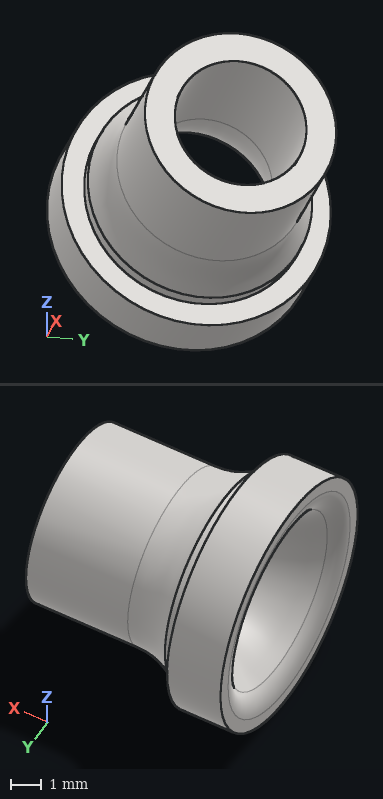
import cadquery as cq
import math

total_length = 8.0
flange_radius = 9 / 2
flange_length = 2.0
hub_radius = 7.5 / 2
hub_end = 2.5
tube_radius = 6.4 / 2
neck_end = 4.2

throat_radius = 4.4 / 2
mouth_radius = 8.0 / 2
lip_arc_radius = 1.0
throat_arc_radius = 5.0

neck_run = neck_end - hub_end
neck_drop = hub_radius - tube_radius
neck_arc_radius = (neck_run**2 + neck_drop**2) / (2 * neck_drop)
neck_center = (neck_end, tube_radius + neck_arc_radius)
neck_half_angle = math.asin(neck_run / neck_arc_radius) / 2

lip_center = (lip_arc_radius, mouth_radius)
throat_center_radius = throat_radius + throat_arc_radius
blend_angle = math.acos(
    (throat_center_radius - mouth_radius) / (throat_arc_radius - lip_arc_radius)
)
throat_start = lip_arc_radius + (throat_arc_radius - lip_arc_radius) * math.sin(blend_angle)
throat_center = (throat_start, throat_center_radius)


def point_on_arc(center, radius, angle):
    """Point at an angle measured from the axis-facing end of the arc toward -X."""
    return (center[0] - radius * math.sin(angle), center[1] - radius * math.cos(angle))


lip_middle_angle = (math.pi / 2 + blend_angle) / 2

profile = (
    cq.Workplane("XY")
    .moveTo(0, mouth_radius)
    .lineTo(0, flange_radius)
    .lineTo(flange_length, flange_radius)
    .lineTo(flange_length, hub_radius)
    .lineTo(hub_end, hub_radius)
    .threePointArc(
        point_on_arc(neck_center, neck_arc_radius, neck_half_angle),
        (neck_end, tube_radius),
    )
    .lineTo(total_length, tube_radius)
    .lineTo(total_length, throat_radius)
    .lineTo(throat_start, throat_radius)
    .threePointArc(
        point_on_arc(throat_center, throat_arc_radius, blend_angle / 2),
        point_on_arc(throat_center, throat_arc_radius, blend_angle),
    )
    .threePointArc(
        point_on_arc(lip_center, lip_arc_radius, lip_middle_angle),
        (0, mouth_radius),
    )
    .close()
)

result = profile.revolve(360, (0, 0, 0), (1, 0, 0))